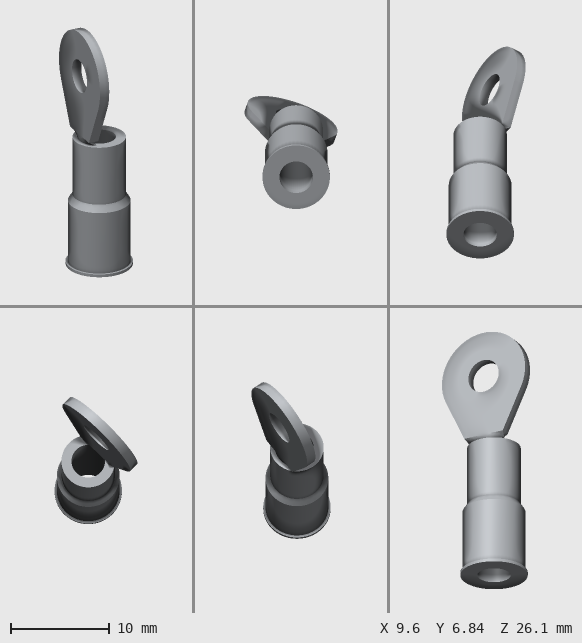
import cadquery as cq
import math

flange_radius = 3.42
flange_height = 0.31
body_radius = 3.2
body_top = 7.05
collar_radius = 2.72
collar_bottom = 7.8
collar_top = 14.15

barrel_radius = 2.22
bore_radius = 1.7

total_height = 26.15
tongue_radius = 4.8
hole_radius = 1.75
tongue_front = -barrel_radius
tongue_thickness = 1.05
tongue_back = tongue_front + tongue_thickness
tongue_bottom = 14.8
root_half_width = 2.22
eye_height = total_height - tongue_radius


def make_sleeve():
    """Stepped insulating sleeve, revolved about Z around the barrel."""
    return (
        cq.Workplane("XZ")
        .moveTo(barrel_radius, 0)
        .lineTo(flange_radius, 0)
        .lineTo(flange_radius, flange_height)
        .lineTo(body_radius, flange_height)
        .lineTo(body_radius, body_top)
        .lineTo(collar_radius, collar_bottom)
        .lineTo(collar_radius, collar_top)
        .lineTo(barrel_radius, collar_top)
        .close()
        .revolve(360, (0, 0, 0), (0, 1, 0))
    )


def make_barrel():
    """Straight tube ending flush with both ends of the sleeve."""
    return cq.Workplane("XY").circle(barrel_radius).circle(bore_radius).extrude(collar_top)


def make_tongue():
    """Round eye whose straight sides run tangentially down to the narrow root."""
    drop = eye_height - tongue_bottom
    root_distance = math.hypot(root_half_width, drop)
    tangent_angle = math.acos(tongue_radius / root_distance) - math.atan2(drop, root_half_width)
    tangent_x = tongue_radius * math.cos(tangent_angle)
    tangent_z = eye_height + tongue_radius * math.sin(tangent_angle)
    return (
        cq.Workplane("XZ", origin=(0, tongue_back, 0))
        .moveTo(-root_half_width, tongue_bottom)
        .lineTo(root_half_width, tongue_bottom)
        .lineTo(tangent_x, tangent_z)
        .threePointArc((0, total_height), (-tangent_x, tangent_z))
        .close()
        .moveTo(0, eye_height)
        .circle(hole_radius)
        .extrude(tongue_thickness)
    )


def make_neck():
    """Transition from the curved barrel wall to the flat root of the tongue."""
    outer_x = math.sqrt(barrel_radius**2 - tongue_back**2)
    inner_x = math.sqrt(bore_radius**2 - tongue_back**2)
    barrel_end = [
        cq.Vector(-outer_x, tongue_back, collar_top),
        cq.Vector(outer_x, tongue_back, collar_top),
        cq.Vector(inner_x, tongue_back, collar_top),
        cq.Vector(-inner_x, tongue_back, collar_top),
    ]
    tongue_end = [
        cq.Vector(-root_half_width, tongue_front, tongue_bottom),
        cq.Vector(root_half_width, tongue_front, tongue_bottom),
        cq.Vector(root_half_width, tongue_back, tongue_bottom),
        cq.Vector(-root_half_width, tongue_back, tongue_bottom),
    ]
    outer_middle = cq.Vector(0, -barrel_radius, collar_top)
    inner_middle = cq.Vector(0, -bore_radius, collar_top)
    barrel_edges = [
        cq.Edge.makeThreePointArc(barrel_end[0], outer_middle, barrel_end[1]),
        cq.Edge.makeLine(barrel_end[1], barrel_end[2]),
        cq.Edge.makeThreePointArc(barrel_end[2], inner_middle, barrel_end[3]),
        cq.Edge.makeLine(barrel_end[3], barrel_end[0]),
    ]
    tongue_edges = [
        cq.Edge.makeLine(tongue_end[i], tongue_end[(i + 1) % 4]) for i in range(4)
    ]
    faces = [cq.Face.makeRuledSurface(low, high) for low, high in zip(barrel_edges, tongue_edges)]
    for edges in (barrel_edges, tongue_edges):
        faces.append(cq.Face.makeFromWires(cq.Wire.assembleEdges(edges)))
    neck = cq.Solid.makeSolid(cq.Shell.makeShell(faces))
    return cq.Workplane(neck.fix())


result = make_sleeve()
for piece in (make_barrel(), make_neck(), make_tongue()):
    result = result.union(piece, clean=False)